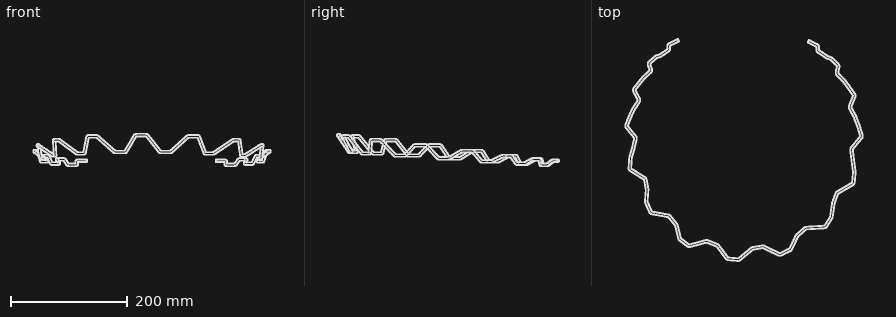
import cadquery as cq
import math

wire_diameter = 5.0
bend_radius = 3.5

flats = [
    (-112.5, 188.5, -129.5, 180.5),
    (-129.0, 172.0, -144.5, 161.7),
    (-150.5, 160.5, -163.7, 148.5),
    (-159.3, 136.5, -172.7, 124.0),
    (-178.0, 117.5, -189.0, 103.5),
    (-179.5, 85.5, -190.0, 70.0),
    (-195.0, 58.5, -202.0, 41.0),
    (-185.7, 21.0, -190.2, 2.5),
    (-194.5, -12.5, -196.0, -32.5),
    (-169.5, -49.3, -166.0, -67.5),
    (-168.0, -88.8, -159.5, -107.0),
    (-128.7, -113.0, -116.0, -128.5),
    (-110.5, -152.5, -94.5, -164.0),
    (-64.0, -156.0, -45.5, -163.5),
    (-28.5, -186.0, -9.0, -187.8),
    (14.0, -168.5, 32.0, -165.5),
    (61.5, -179.2, 79.5, -170.3),
    (91.0, -146.5, 105.5, -133.5),
    (139.5, -131.5, 149.5, -115.3),
    (153.0, -90.5, 159.3, -73.5),
    (187.5, -57.0, 189.0, -37.0),
    (186.0, -16.0, 184.0, 2.0),
    (201.5, 23.5, 196.0, 42.5),
    (190.0, 58.0, 181.3, 74.0),
    (189.5, 93.5, 179.0, 108.8),
    (172.5, 117.7, 159.0, 131.5),
    (161.7, 145.0, 149.0, 157.2),
    (142.5, 159.3, 126.3, 170.3),
    (126.3, 179.0, 110.0, 187.0),
]

crest_heights = [-18.5, -16.0, -10.0, -1.5, 8.0, 17.0, 23.5, 25.5]
trough_heights = [-25.3, -23.2, -19.5, -14.3, -9.5, -5.5, -3.3]


def flat_height(index):
    """Height of a flat, counted from the nearer tip."""
    from_tip = min(index, len(flats) - 1 - index)
    heights = trough_heights if from_tip % 2 else crest_heights
    return heights[from_tip // 2]


def corner_points():
    """Tips and sharp corners of the wire's centre line."""
    corners = []
    for index, (start_x, start_y, end_x, end_y) in enumerate(flats):
        height = flat_height(index)
        corners.append(cq.Vector(start_x, start_y, height))
        corners.append(cq.Vector(end_x, end_y, height))
    return corners


def rounded_path(corners, radius):
    """Straight lines between the corners, with a tangent arc at each one but the tips."""
    edges = []
    position = corners[0]
    for before, corner, after in zip(corners, corners[1:], corners[2:]):
        back = (before - corner).normalized()
        ahead = (after - corner).normalized()
        half_angle = back.getAngle(ahead) / 2
        setback = radius / math.tan(half_angle)
        arc_middle_distance = radius / math.sin(half_angle) - radius
        arc_start = corner + back * setback
        arc_middle = corner + (back + ahead).normalized() * arc_middle_distance
        arc_end = corner + ahead * setback
        edges.append(cq.Edge.makeLine(position, arc_start))
        edges.append(cq.Edge.makeThreePointArc(arc_start, arc_middle, arc_end))
        position = arc_end
    edges.append(cq.Edge.makeLine(position, corners[-1]))
    return cq.Wire.assembleEdges(edges)


corners = corner_points()
end_plane = cq.Plane(origin=corners[0], normal=corners[1] - corners[0])
result = (
    cq.Workplane(end_plane)
    .circle(wire_diameter / 2)
    .sweep(cq.Workplane(rounded_path(corners, bend_radius)))
)